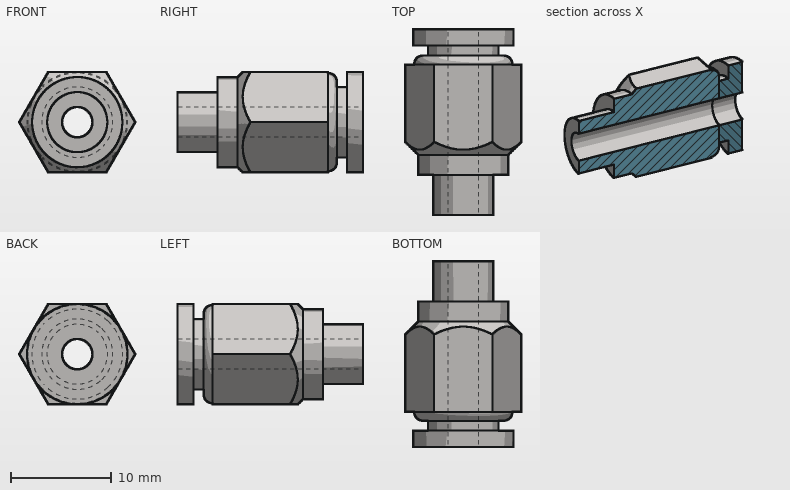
import cadquery as cq
import math

total_length = 18.5
bore_diameter = 3.0

stem_diameter = 6.0
stem_length = 4.0
collar_diameter = 9.0
collar_length = 2.0
hex_across_flats = 10.0
hex_length = 9.0
ring_diameter = 9.8
ring_length = 0.9
ring_fillet = 0.89

neck_diameter = 7.05
flange_diameter = hex_across_flats
flange_length = 1.63

collar_start = stem_length
hex_start = collar_start + collar_length
ring_start = hex_start + hex_length
ring_end = ring_start + ring_length
flange_start = total_length - flange_length

hex_across_corners = hex_across_flats / math.cos(math.radians(30))


def plane_at(y):
    """Workplane normal to the axis, facing +Y."""
    return cq.Workplane("XZ", origin=(0, y, 0))


def cylinder(diameter, start, end):
    return plane_at(start).circle(diameter / 2).extrude(start - end)


def make_hex():
    """Hexagon whose corners are cut by a 45 degree cone at the collar end."""
    prism = plane_at(hex_start).polygon(6, hex_across_corners).extrude(-hex_length)
    collar_radius = collar_diameter / 2
    corner_radius = hex_across_corners / 2
    cone_length = corner_radius - collar_radius
    envelope = (
        cq.Workplane("XY")
        .moveTo(0, hex_start)
        .lineTo(collar_radius, hex_start)
        .lineTo(corner_radius, hex_start + cone_length)
        .lineTo(corner_radius, ring_start)
        .lineTo(0, ring_start)
        .close()
        .revolve(360, (0, 0, 0), (0, 1, 0))
    )
    return prism.intersect(envelope)


def make_fitting_body():
    stem = cylinder(stem_diameter, 0, collar_start)
    collar = cylinder(collar_diameter, collar_start, hex_start)
    ring = cylinder(ring_diameter, ring_start, ring_end).faces(">Y").edges().fillet(ring_fillet)
    bore = cylinder(bore_diameter, 0, ring_end)
    return stem.union(collar).union(make_hex()).union(ring).cut(bore)


def make_release_sleeve():
    """Flanged sleeve whose neck rests on the end face of the ring."""
    neck = cylinder(neck_diameter, ring_end, flange_start)
    flange = cylinder(flange_diameter, flange_start, total_length)
    bore = cylinder(bore_diameter, ring_end, total_length)
    return neck.union(flange).cut(bore)


fitting_body = make_fitting_body()
release_sleeve = make_release_sleeve()

result = cq.Compound.makeCompound([fitting_body.val(), release_sleeve.val()])